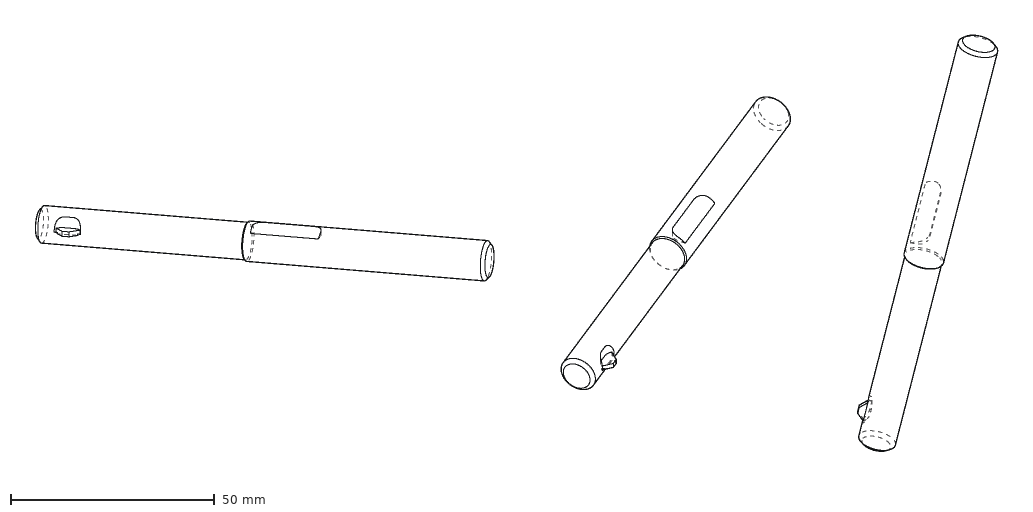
import cadquery as cq

length = 115.0
front_diameter = 9.3
rear_diameter = 10.0
step_x = 53.0
front_chamfer_length = 0.9
front_chamfer_depth = 1.0
rear_chamfer = 0.9
step_length = 0.3

window_start = 55.0
window_end = 72.5
window_back_y = 0.6
window_floor_z = 3.2
window_corner_radius = 2.8
window_floor_fillet = 0.3

slider_x = 8.5
recess_width = 7.4
recess_back_y = -3.2
recess_corner_radius = 2.6
recess_floor_z = -0.3
tab_tip_y = -6.38
tab_tip_width = 1.7
tab_top_z = 0.6
tab_thickness = 1.3

front_radius = front_diameter / 2
rear_radius = rear_diameter / 2


def pocket_block(center_x, width, back_y, floor_z, corner_radius):
    """Cutter open to the top and the -Y side, with its two back corners rounded."""
    block = cq.Workplane("XY").box(width, rear_diameter, rear_diameter, centered=(True, False, False))
    block = block.faces(">Y").edges("|Z").fillet(corner_radius)
    return block.translate((center_x, back_y - rear_diameter, floor_z))


def make_body():
    profile = [
        (0, 0),
        (0, front_radius - front_chamfer_depth),
        (front_chamfer_length, front_radius),
        (step_x, front_radius),
        (step_x + step_length, rear_radius),
        (length - rear_chamfer, rear_radius),
        (length, rear_radius - rear_chamfer),
        (length, 0),
    ]
    return cq.Workplane("XY").polyline(profile).close().revolve(360, (0, 0, 0), (1, 0, 0))


def make_window():
    center_x = (window_start + window_end) / 2
    width = window_end - window_start
    window = pocket_block(center_x, width, window_back_y, window_floor_z, window_corner_radius)
    return window.faces("<Z").edges().fillet(window_floor_fillet)


def make_recess():
    return pocket_block(slider_x, recess_width, recess_back_y, recess_floor_z, recess_corner_radius)


def make_tab():
    half_tip = tab_tip_width / 2
    half_recess = recess_width / 2
    flare_end_y = tab_tip_y + half_recess - half_tip
    outline = [
        (slider_x - half_tip, tab_tip_y),
        (slider_x + half_tip, tab_tip_y),
        (slider_x + half_recess, flare_end_y),
        (slider_x + half_recess, recess_back_y),
        (slider_x - half_recess, recess_back_y),
        (slider_x - half_recess, flare_end_y),
    ]
    bottom = cq.Workplane("XY").workplane(offset=tab_top_z - tab_thickness)
    return bottom.polyline(outline).close().extrude(tab_thickness)


result = make_body().cut(make_window()).cut(make_recess()).union(make_tab())